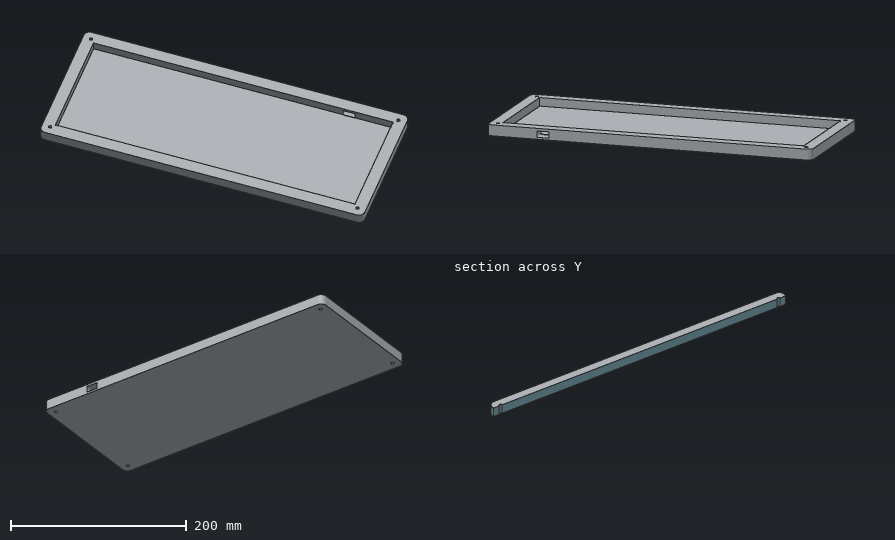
import cadquery as cq

length = 390.4
width = 160.4
height = 13.0
corner_radius = 7.0

cavity_length = 361.0
cavity_width = 131.0
floor_thickness = 3.0

screw_diameter = 3.4
screw_inset = 10.0

slot_center_x = 127.7
slot_width = 14.5
slot_bottom = 2.5
slot_top = 10.0
slot_corner_radius = 1.5


def make_body():
    """Plate with rounded vertical corners, resting on Z = 0."""
    plate = cq.Workplane("XY").box(length, width, height, centered=(True, True, False))
    return plate.edges("|Z").fillet(corner_radius)


def make_cavity():
    """Block that hollows the tray down to its floor."""
    return (
        cq.Workplane("XY")
        .workplane(offset=floor_thickness)
        .rect(cavity_length, cavity_width)
        .extrude(height - floor_thickness)
    )


def make_screw_holes():
    """Four through holes in the rim corners."""
    return (
        cq.Workplane("XY")
        .rect(length - 2 * screw_inset, width - 2 * screw_inset, forConstruction=True)
        .vertices()
        .circle(screw_diameter / 2)
        .extrude(height)
    )


def make_cable_slot():
    """Rounded bar along Y that spans the +Y wall."""
    wall_thickness = (width - cavity_width) / 2
    block = cq.Workplane("XY").box(
        slot_width, wall_thickness, slot_top - slot_bottom, centered=(True, False, False)
    )
    rounded = block.edges("|Y").fillet(slot_corner_radius)
    return rounded.translate((slot_center_x, cavity_width / 2, slot_bottom))


result = make_body().cut(make_cavity()).cut(make_screw_holes()).cut(make_cable_slot())